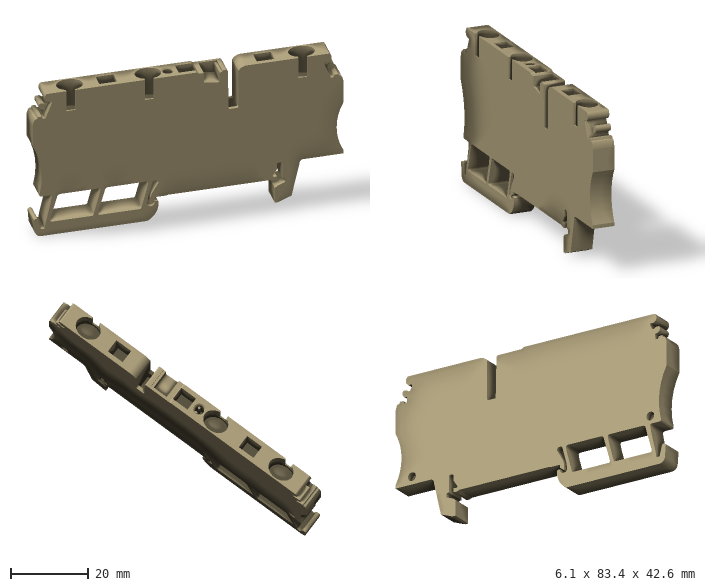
import cadquery as cq
import math


width = 6.1
length = 83.35
height = 42.6

side_x = width / 2
end_y = length / 2
floor_z = 11.9
shoulder_z = 33.55
core_y = 36.0

waist_top_z = 27.3
rear_waist_y = 39.85
waist_z = 20.3
rear_waist_bottom_z = 12.9
front_end_bottom_y = 39.9
front_waist_bottom_z = 12.6
front_waist_y = 39.3
front_waist_mid_z = 16.8
heel_chamfer = 0.3

slot_rear_y = 13.5
slot_front_y = 10.9
slot_mouth_y = 10.65
slot_floor_z = 30.2
slot_round = 2.2
slot_edge_drop = 1.3
slot_corner = 0.25
step_z = 42.15
step_front_y = 2.85
step_run = 0.5
mouth_round = 0.6
pit_half_width = 2.05
pit_depth = 5.0

rail_z = 7.0
rail_rear_y = 23.8
rail_front_y = -7.9
latch_y = -8.92

window_rear_y = (-10.7, -23.55)
window_length = 11.7
bar_z = 3.9
strut_lean = 1.85
strut_bend = 0.3
strut_bend_drop = 2.0
strut_root = 1.0
window_corner = 0.5
window_chamfer = 0.3

opening_depth = 8.0
funnel_y = (31.25, -9.95, -31.0)
funnel_width = 5.4
funnel_length = 7.0
gap_rear = 0.75
gap_front = 1.65
gap_depth = 6.0
square_width = 3.65
square_length = 4.75
square_slope = 0.55
rear_square_y = 21.15
middle_square_y = 0.2
front_square_y = -21.1

screw_y = -4.65
screw_mouth_radius = 1.6
screw_radius = 1.25
screw_chamfer = 0.35
post_radius = 0.35
post_x = 0.75
post_y = 0.6
post_drop = 2.0

pocket_x = -2.3
pocket_rear_y = 9.15
pocket_front_y = 4.2
pocket_rear_z = 38.7
pocket_front_z = 39.3
pocket_ledge = 0.7
pocket_ledge_drop = 0.5

tooth_width = 4.3

pin_diameter = 2.4
pin_depth = 2.0
pin_y = 36.65
pin_z = 14.1


def prism(start, steps, x_from=-side_x, x_to=side_x):
    """Extrude a closed Y-Z outline along X.

    A step (point,) is a straight line; a step (middle, end) is an arc.
    """
    path = cq.Workplane("YZ", origin=(x_from, 0, 0)).moveTo(*start)
    for step in steps:
        if len(step) == 1:
            path = path.lineTo(*step[0])
        else:
            path = path.threePointArc(*step)
    return path.close().extrude(x_to - x_from)


def lines(*points):
    return [(point,) for point in points]


def corner_arc(level_end, other_end, reverse=False):
    """Arc step that leaves a level edge tangentially and ends at the other point.

    Reversed, it starts at the other point and runs into the level edge.
    """
    run = other_end[0] - level_end[0]
    rise = other_end[1] - level_end[1]
    radius = (run**2 + rise**2) / (2 * rise)
    half_turn = math.atan2(abs(rise), abs(run))
    middle = (
        level_end[0] + math.copysign(abs(radius) * math.sin(half_turn), run),
        level_end[1] + radius * (1 - math.cos(half_turn)),
    )
    return middle, level_end if reverse else other_end


def housing_core():
    slot_edge_z = height - slot_edge_drop
    steps = lines(
        (step_front_y - step_run, height),
        (step_front_y, step_z),
        (slot_mouth_y - mouth_round, step_z),
    )
    steps += [corner_arc((slot_mouth_y - mouth_round, step_z), (slot_mouth_y, step_z - mouth_round))]
    steps += lines(
        (slot_front_y, slot_floor_z),
        (slot_rear_y - slot_corner, slot_floor_z),
        (slot_rear_y, slot_floor_z + slot_corner),
        (slot_rear_y, slot_edge_z),
    )
    steps += [corner_arc((slot_rear_y + slot_round, height), (slot_rear_y, slot_edge_z), reverse=True)]
    steps += lines(
        (core_y, height),
        (core_y, shoulder_z),
        (end_y, shoulder_z),
        (end_y, waist_top_z),
    )
    steps += [((rear_waist_y, waist_z), (end_y, rear_waist_bottom_z))]
    steps += lines(
        (end_y, floor_z),
        (-front_end_bottom_y + heel_chamfer, floor_z),
        (-front_end_bottom_y, floor_z + heel_chamfer),
        (-front_end_bottom_y, front_waist_bottom_z),
    )
    steps += [((-front_waist_y, front_waist_mid_z), (-end_y, waist_top_z))]
    steps += lines((-end_y, shoulder_z), (-core_y, shoulder_z), (-core_y, height))
    return prism((-core_y, height), steps)


def marker_teeth():
    """Three rounded teeth on the rear end, shaved off beyond the tooth width."""
    notch_top = (36.55, 39.7)
    notch_bottom = (38.3, 35.3)
    steps = lines((37.95, height))
    steps += [((38.5, 41.6), (38.3, 40.6))]
    steps += lines((37.75, 40.15), (36.6, 40.1), notch_top, (37.2, 38.4), (37.6, 38.35))
    steps += lines((38.3, 38.8), (39.25, 38.85))
    steps += [((39.6, 38.05), (39.15, 37.2))]
    steps += lines((38.5, 36.9), (38.15, 36.85), (38.1, 36.2), notch_bottom, (39.0, 35.3))
    steps += lines((39.3, 36.0), (40.3, 36.05), (40.5, 35.5), (41.1, 35.4))
    steps += [((41.4, 34.8), (end_y, shoulder_z))]
    steps += lines((core_y, shoulder_z))
    teeth = prism((core_y, height), steps)
    shaved = lines(notch_bottom, (39.0, 35.3), (39.3, 36.0), (40.2, 39.0), (37.75, 40.15), (36.6, 40.1))
    return teeth.cut(prism(notch_top, shaved, x_from=tooth_width - side_x))


def rail_block():
    """Block that sits on the rail, with a catch lip at the rear and a hook at the front."""
    steps = lines(
        (rail_rear_y, 9.9),
        (22.6, 8.1),
        (23.0, 7.75),
        (rail_rear_y, 7.85),
        (rail_rear_y, 6.75),
        (23.0, 6.65),
        (22.0, rail_z),
        (-5.6, rail_z),
        (-5.8, 6.85),
        (-8.3, 6.85),
        (latch_y, 6.75),
        (latch_y, 5.95),
        (-10.1, 5.1),
        (-10.1, 6.9),
        (-9.8, 7.9),
        (rail_front_y, 11.2),
    )
    steps += [corner_arc((-8.7, floor_z), (rail_front_y, 11.2), reverse=True)]
    steps += lines((24.4, floor_z))
    steps += [corner_arc((24.4, floor_z), (rail_rear_y, 11.3))]
    return prism((rail_rear_y, 11.3), steps)


def rear_foot():
    steps = [corner_arc((30.9, floor_z), (29.9, 10.9))]
    steps += lines(
        (27.75, 1.4),
        (24.2, 0.0),
        (23.25, 0.0),
        (23.25, 4.4),
        (23.9, 4.95),
        (26.05, 5.85),
        (26.05, 6.75),
        (25.8, rail_z),
        (25.3, rail_z),
        (25.3, 11.3),
    )
    steps += [corner_arc((24.7, floor_z), (25.3, 11.3), reverse=True)]
    return prism((30.9, floor_z), steps)


def front_foot():
    """Spring foot: a floor bar hung from the housing by three slanted struts."""
    steps = [corner_arc((-9.0, floor_z), (-9.7, 11.2))]
    steps += lines((-10.85, 6.85), (-11.1, 5.3))
    steps += [((-10.1, 4.35), (latch_y, 5.3))]
    steps += lines((latch_y, 5.6), (-8.3, 5.6), (-7.95, 5.3), (-7.95, 4.6))
    steps += [((-8.8, 1.9), (-10.9, 0.0))]
    steps += lines((-39.4, 0.0))
    steps += [corner_arc((-39.4, 0.0), (-41.15, 1.7))]
    steps += lines((-41.4, 4.9))
    steps += [((-40.8, 5.4), (-40.2, 5.0))]
    steps += lines((-39.5, 2.1), (-38.5, 2.1), (-38.3, 3.6), (-36.9, 9.6), (-36.6, 11.4))
    steps += [corner_arc((-37.1, floor_z), (-36.6, 11.4), reverse=True)]
    foot = prism((-9.0, floor_z), steps)
    for rear_y in window_rear_y:
        foot = foot.cut(foot_window(rear_y))
    return foot


def foot_window(rear_y):
    """Slanted window between two struts, with rounded corners."""
    front_y = rear_y - window_length
    bar_rear_y = rear_y - strut_lean
    bar_front_y = front_y - strut_lean
    rear_top = (rear_y, floor_z - window_corner)
    steps = lines(
        (rear_y - strut_bend, floor_z - strut_bend_drop),
        (bar_rear_y, bar_z + window_chamfer),
        (bar_rear_y - window_chamfer, bar_z),
        (bar_front_y + window_corner, bar_z),
    )
    steps += [
        corner_arc((bar_front_y + window_corner, bar_z), (bar_front_y, bar_z + window_corner))
    ]
    steps += lines((front_y, floor_z - strut_root))
    steps += [
        corner_arc((front_y + strut_root, floor_z), (front_y, floor_z - strut_root), reverse=True)
    ]
    steps += lines((rear_y - window_corner, floor_z))
    steps += [corner_arc((rear_y - window_corner, floor_z), rear_top)]
    return prism(rear_top, steps)


def box_between(x_range, y_range, z_range):
    size = [high - low for low, high in (x_range, y_range, z_range)]
    corner = (x_range[0], y_range[0], z_range[0])
    return cq.Workplane("XY").box(*size, centered=False).translate(corner)


def conductor_funnel(y):
    """Oval conductor entry that breaks out through the +X side."""
    bottom_z = height - opening_depth
    oval = (
        cq.Workplane("XY", origin=(0, y, bottom_z))
        .ellipse(funnel_width / 2, funnel_length / 2)
        .extrude(opening_depth)
    )
    gap = box_between((0, side_x), (y - gap_front, y + gap_rear), (height - gap_depth, height))
    return oval.union(gap)


def square_opening(y, slope_side):
    """Rectangular opening whose wall on the slope side leans inward with depth."""
    outer_y = y + slope_side * square_length / 2
    inner_y = y - slope_side * square_length / 2
    bottom_z = height - opening_depth
    steps = lines(
        (inner_y, bottom_z),
        (outer_y - slope_side * square_slope, bottom_z),
        (outer_y, height),
    )
    return prism((inner_y, height), steps, -square_width / 2, square_width / 2)


def screw_hole():
    shaft = cq.Workplane("XY", origin=(0, screw_y, height - opening_depth)).circle(screw_radius)
    mouth = cq.Solid.makeCone(
        screw_radius,
        screw_mouth_radius,
        screw_chamfer,
        pnt=cq.Vector(0, screw_y, height - screw_chamfer),
    )
    hole = shaft.extrude(opening_depth).union(cq.Workplane(mouth))
    posts = (
        cq.Workplane("XY", origin=(0, screw_y + post_y, height - opening_depth))
        .pushPoints([(-post_x, 0), (post_x, 0)])
        .circle(post_radius)
        .extrude(opening_depth - post_drop)
    )
    return hole.cut(posts)


def marker_pocket():
    """Pocket with a sloping floor and a sunken ledge along its rear edge."""
    ledge_z = step_z - pocket_ledge_drop
    steps = lines(
        (pocket_rear_y, ledge_z),
        (pocket_rear_y - pocket_ledge, ledge_z),
        (pocket_rear_y - pocket_ledge, pocket_rear_z),
        (pocket_front_y, pocket_front_z),
        (pocket_front_y, height),
    )
    return prism((pocket_rear_y, height), steps, x_from=pocket_x)


def slot_pit():
    return box_between(
        (-pit_half_width, pit_half_width),
        (slot_front_y, slot_rear_y),
        (slot_floor_z - pit_depth, slot_floor_z + slot_corner),
    )


def pin_holes():
    return (
        cq.Workplane("YZ", origin=(-side_x, 0, 0))
        .pushPoints([(-pin_y, pin_z), (pin_y, pin_z)])
        .circle(pin_diameter / 2)
        .extrude(pin_depth)
    )


rear_teeth = marker_teeth()
result = housing_core().union(rear_teeth).union(rear_teeth.mirror("XZ"))
result = result.union(rail_block()).union(rear_foot()).union(front_foot())

for funnel in funnel_y:
    result = result.cut(conductor_funnel(funnel))
result = result.cut(square_opening(rear_square_y, 1))
result = result.cut(square_opening(middle_square_y, -1))
result = result.cut(square_opening(front_square_y, -1))
result = result.cut(screw_hole()).cut(marker_pocket()).cut(slot_pit()).cut(pin_holes())